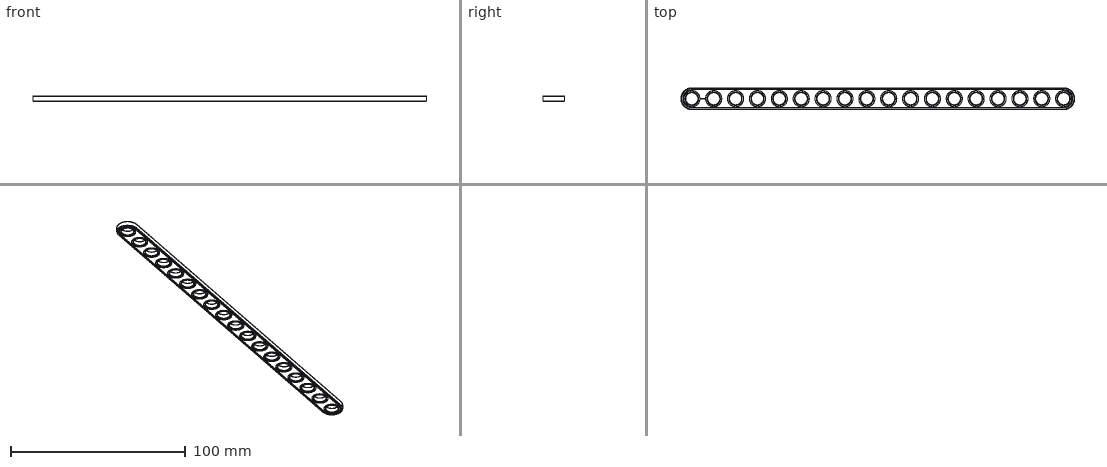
import cadquery as cq

length = 225.0
hole_count = 18
pitch = length / hole_count
width = pitch
thickness = 3.2

hole_diameter = 7.0
collar_diameter = 9.2
edge_chamfer = 0.32

rim_width = 1.1
recess_depth = 0.2

groove_width = 0.5
groove_depth = 0.2


def hole_discs(diameter, height):
    """One disc per hole, standing on Z = 0."""
    return cq.Workplane("XY").rarray(pitch, 2.2, hole_count, 1).circle(diameter / 2).extrude(height)


def make_bar():
    """Drilled flat bar resting on Z = 0, chamfered along every edge of both faces."""
    blank = cq.Workplane("XY").slot2D(length, width).extrude(thickness)
    drilled = blank.cut(hole_discs(hole_diameter, thickness))
    return drilled.faces("<Z or >Z").edges().chamfer(edge_chamfer)


def make_recess():
    """Volume removed from one face: the area inside the rim, less the collars."""
    inside_rim = cq.Workplane("XY").slot2D(length - 2 * rim_width, width - 2 * rim_width).extrude(recess_depth)
    return inside_rim.cut(hole_discs(collar_diameter, recess_depth))


def make_groove():
    """Groove volume along X, ending at the walls of the first two collars."""
    first_gap_x = (2 - hole_count) / 2 * pitch
    strip = cq.Workplane("XY").center(first_gap_x, 0).rect(pitch, groove_width).extrude(groove_depth)
    return strip.cut(hole_discs(collar_diameter, groove_depth))


upper_floor = thickness - recess_depth
recess = make_recess()

result = make_bar()
result = result.cut(recess)
result = result.cut(recess.translate((0, 0, upper_floor)))
result = result.cut(make_groove().translate((0, 0, upper_floor - groove_depth)))